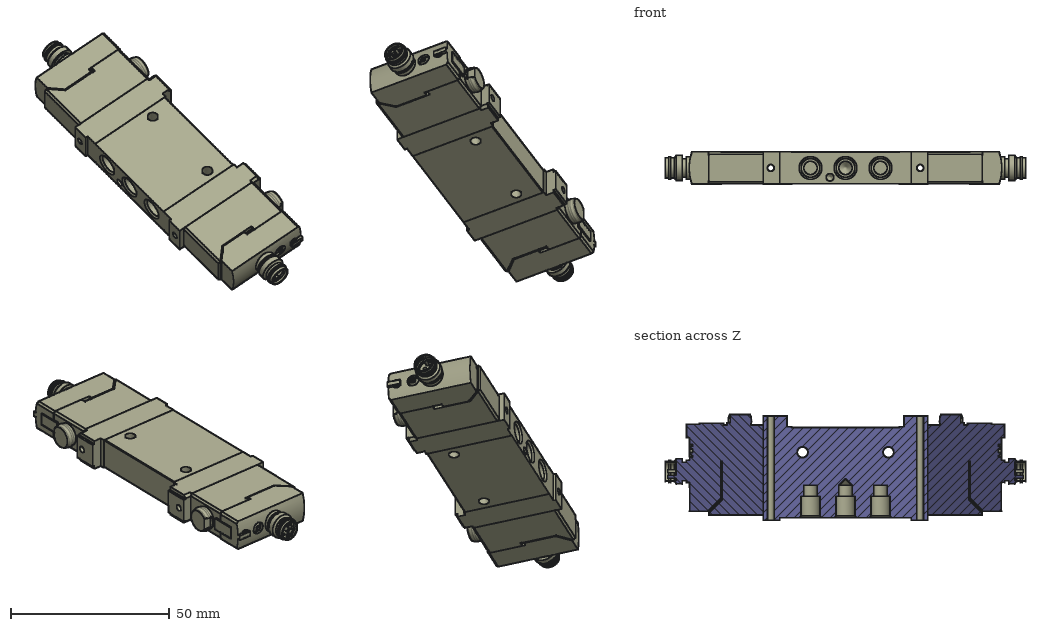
import cadquery as cq


length = 114.0
height = 10.3
half_height = height / 2
seam_step = 0.06

housing_end = 26.0
block_end = 17.0
block_front = -16.0
block_back = 12.7
block_back_chamfer = 0.2
shoulder_back = 12.9
foot_inner_x = 20.7
foot_front = -16.8
tongue_inner_x = 18.5
tongue_back = 16.3
tongue_ledge_back = 15.5
tongue_tip_half_height = 4.0
tongue_end_chamfer = 0.9
mount_x = 13.6
mount_y = 4.8
mount_diameter = 3.3
foot_hole_x = 23.6
foot_hole_diameter = 2.0

port_pitch = 11.0
port_mouth_diameter = 7.2
port_diameter = 5.9
port_chamfer = (port_mouth_diameter - port_diameter) / 2
port_depth = 6.8
passage_diameter = 4.2
passage_depth = 10.3
pilot_x = -4.9
pilot_z = -3.0
pilot_diameter = 2.4
pilot_depth = 3.4

coil_front = -15.0
coil_back = 13.5
coil_end = -39.0
coil_toe = -43.2
coil_slant_y = -10.1
coil_chamfer = 0.7
cap_front = -13.9
cap_back = 13.7
cap_chamfer = 0.7
cap_seam = -40.6
cap_lip = -39.3
cap_slant_y = -9.8
cap_edge_x = -48.5
cap_crown_x = -49.4
corner_tip_x = -42.6
corner_tip_half_height = 4.2
corner_tip_length = 1.7
corner_tip_width = 0.3
window_back = 1.9
upper_window_front = 0.9
lower_window_front = -1.1
window_depth = 1.1

latch_tip = -50.3
latch_front = 9.3
latch_half_width = 0.8
latch_knob_diameter = 2.8
latch_knob_tip = -49.6
pad_start = -46.2
pad_end = -38.5
pad_back = 14.0
pad_half_width = 2.0

indicator_y = 5.2
indicator_diameter = 3.9
indicator_depth = 1.0
indicator_base_diameter = 3.3
indicator_tip_diameter = 1.8
indicator_hole_diameter = 1.0

connector_y = -1.3
connector_tip = -length / 2
tip_diameter = 6.5
ridge_diameter = 7.2
flange_diameter = 8.1
neck_diameter = 5.9
ridge_start = -55.9
ridge_end = -55.2
cone_start = -54.0
flange_start = -53.5
flange_end = -51.5
base_start = -50.4
socket_diameter = 5.8
socket_depth = 3.4
contact_diameter = 1.0
contact_radius = 1.7
contact_setback = 0.8

button_x = -33.6
button_top = 16.8
button_top_diameter = 7.0
button_diameter = 7.2
button_bevel_diameter = 7.4
button_barrel_diameter = 8.0
button_bevel_y = 16.3
barrel_back = 15.3
barrel_front = 14.6
button_notch_floor = 2.8
button_notch_half_width = 1.9
button_notch_front = 14.1


def box(x0, x1, y0, y1, z0, z1):
    """Box between two opposite corners."""
    return cq.Workplane("XY").box(x1 - x0, y1 - y0, z1 - z0, centered=False).translate((x0, y0, z0))


def slab(x0, x1, y0, y1, half_thickness):
    """Box centred on the mid plane of the valve."""
    return box(x0, x1, y0, y1, -half_thickness, half_thickness)


def prism(points, half_thickness):
    """Plan outline extruded evenly about the mid plane."""
    return cq.Workplane("XY").polyline(points).close().extrude(half_thickness, both=True)


def rod_x(x0, x1, y, z, diameter):
    """Cylinder along X."""
    return cq.Workplane("YZ", origin=(x0, y, z)).circle(diameter / 2).extrude(x1 - x0)


def rod_y(x, y0, y1, z, diameter):
    """Cylinder along Y."""
    return cq.Workplane("XZ", origin=(x, y0, z)).circle(diameter / 2).extrude(y0 - y1)


def cone_y(x, y0, y1, z, start_diameter, end_diameter):
    """Cone along +Y from y0 to y1."""
    solid = cq.Solid.makeCone(
        start_diameter / 2, end_diameter / 2, y1 - y0, pnt=cq.Vector(x, y0, z), dir=cq.Vector(0, 1, 0)
    )
    return cq.Workplane(solid)


def turn(shape, angle=180):
    """Turn about the Y axis; a half turn moves a shape from the -X end to the +X end."""
    return shape.rotate((0, 0, 0), (0, 1, 0), angle)



def make_shoulder():
    """Raised shoulder at the -X end, with a foot in front and a stepped tongue behind."""
    shoulder = slab(-housing_end, -block_end, block_front, shoulder_back, half_height)
    foot = slab(-housing_end, -foot_inner_x, foot_front, block_front, half_height)
    tongue = slab(-housing_end, -tongue_inner_x, shoulder_back, tongue_ledge_back, half_height)
    tongue = tongue.faces("<X").edges("|Y").chamfer(tongue_end_chamfer)
    tip = slab(-housing_end, -tongue_inner_x, tongue_ledge_back, tongue_back, tongue_tip_half_height)
    foot_hole = rod_y(-foot_hole_x, foot_front, tongue_back, 0, foot_hole_diameter)
    return shoulder.union(foot).union(tongue).union(tip).cut(foot_hole)


def port_cutter(x, has_drill_point):
    """Chamfered port with a narrower passage behind it."""
    chamfer_end = block_front + port_chamfer
    passage_end = block_front + passage_depth
    mouth = cone_y(x, block_front, chamfer_end, 0, port_mouth_diameter, port_diameter)
    bore = rod_y(x, block_front, block_front + port_depth, 0, port_diameter)
    passage = rod_y(x, block_front, passage_end, 0, passage_diameter)
    cutter = mouth.union(bore).union(passage)
    if has_drill_point:
        point_end = passage_end + passage_diameter / 2
        cutter = cutter.union(cone_y(x, passage_end, point_end, 0, passage_diameter, 0))
    return cutter


def pilot_cutter():
    """Small drilled hole with a conical bottom."""
    drill_end = block_front + pilot_depth
    point_end = drill_end + pilot_diameter / 2
    drill = rod_y(pilot_x, block_front, drill_end, pilot_z, pilot_diameter)
    return drill.union(cone_y(pilot_x, drill_end, point_end, pilot_z, pilot_diameter, 0))


def make_housing():
    """Lower block between two shoulders, with ports in front and two mounting holes."""
    body = slab(-block_end, block_end, block_front, block_back, half_height - seam_step)
    body = body.faces(">Y").edges("|X").chamfer(block_back_chamfer)
    shoulder = make_shoulder()
    body = body.union(shoulder).union(turn(shoulder))
    for side in (-1, 0, 1):
        body = body.cut(port_cutter(side * port_pitch, has_drill_point=side == 0))
    body = body.cut(pilot_cutter())
    mounting_holes = (
        cq.Workplane("XY")
        .pushPoints([(-mount_x, mount_y), (mount_x, mount_y)])
        .circle(mount_diameter / 2)
        .extrude(half_height, both=True)
    )
    return body.cut(mounting_holes)



def make_coil():
    """Coil block with a slanted front corner and chamfered long edges."""
    toe_y = coil_slant_y - (coil_end - coil_toe)
    outline = [
        (-housing_end, coil_front),
        (coil_toe, coil_front),
        (coil_toe, toe_y),
        (coil_end, coil_slant_y),
        (coil_end, window_back),
        (cap_seam, window_back),
        (cap_seam, coil_back),
        (-housing_end, coil_back),
    ]
    coil = prism(outline, half_height - seam_step)
    return coil.faces("<Y or >Y").edges("|X").chamfer(coil_chamfer)


def make_cap():
    """Cap with a crowned end face, a slanted corner, two windows and a lip along the coil gap."""
    slant_run = cap_slant_y - cap_front
    outline = [
        (cap_crown_x, cap_front),
        (cap_lip - slant_run, cap_front),
        (cap_lip, cap_slant_y),
        (cap_lip, window_back),
        (cap_seam, window_back),
        (cap_seam, cap_back),
        (cap_crown_x, cap_back),
    ]
    cap = prism(outline, half_height)
    cap = cap.faces(">Y").edges("|X").chamfer(cap_chamfer)
    crown = (
        cq.Workplane("XZ", origin=(0, cap_back, 0))
        .moveTo(cap_lip, -half_height)
        .lineTo(cap_edge_x, -half_height)
        .threePointArc((cap_crown_x, 0), (cap_edge_x, half_height))
        .lineTo(cap_lip, half_height)
        .close()
        .extrude(cap_back - cap_front)
    )
    cap = cap.intersect(crown)
    window_floor = half_height - window_depth
    upper_window = box(cap_seam, coil_end, upper_window_front, window_back, window_floor, half_height)
    lower_window = box(cap_seam, coil_end, lower_window_front, window_back, -half_height, -window_floor)
    corner_tip = slab(
        corner_tip_x - corner_tip_length,
        corner_tip_x,
        cap_front,
        cap_front + corner_tip_width,
        corner_tip_half_height,
    )
    cap = cap.union(corner_tip)
    return cap.cut(upper_window).cut(lower_window)


def make_latch():
    """Latch strip with a round knob on the cap end, and a pad on the back of the cap."""
    knob_y = latch_front + latch_knob_diameter / 2
    strip = slab(latch_tip, cap_edge_x, latch_front, cap_back, latch_half_width)
    knob = rod_x(latch_knob_tip, cap_edge_x, knob_y, 0, latch_knob_diameter)
    pad = slab(pad_start, pad_end, coil_back - coil_chamfer, pad_back, pad_half_width)
    return strip.union(knob).union(pad)


def indicator_cutter():
    """Round recess that leaves a hollow cone standing in the cap end."""
    recess = rod_x(cap_crown_x, cap_crown_x + indicator_depth, indicator_y, 0, indicator_diameter)
    cone = cq.Solid.makeCone(
        indicator_tip_diameter / 2,
        indicator_base_diameter / 2,
        indicator_depth,
        pnt=cq.Vector(cap_crown_x, indicator_y, 0),
        dir=cq.Vector(1, 0, 0),
    )
    hole = rod_x(cap_crown_x, cap_crown_x + indicator_depth, indicator_y, 0, indicator_hole_diameter)
    return recess.cut(cq.Workplane(cone)).union(hole)


def make_connector():
    """Turned round connector with a socket and three contacts."""
    profile = [
        (connector_tip, 0),
        (connector_tip, tip_diameter / 2),
        (ridge_start, tip_diameter / 2),
        (ridge_start, ridge_diameter / 2),
        (ridge_end, ridge_diameter / 2),
        (ridge_end, tip_diameter / 2),
        (cone_start, tip_diameter / 2),
        (flange_start, flange_diameter / 2),
        (flange_end, flange_diameter / 2),
        (flange_end, neck_diameter / 2),
        (base_start, neck_diameter / 2),
        (base_start, ridge_diameter / 2),
        (cap_edge_x, ridge_diameter / 2),
        (cap_edge_x, 0),
    ]
    body = cq.Workplane("XY").polyline(profile).close().revolve(360, (0, 0, 0), (1, 0, 0))
    body = body.translate((0, connector_y, 0))
    socket_floor = connector_tip + socket_depth
    body = body.cut(rod_x(connector_tip, socket_floor, connector_y, 0, socket_diameter))
    for y_side, z_side in ((0, 1), (-1, 0), (0, -1)):
        contact_y = connector_y + y_side * contact_radius
        contact_z = z_side * contact_radius
        contact_tip = connector_tip + contact_setback
        body = body.union(rod_x(contact_tip, socket_floor, contact_y, contact_z, contact_diameter))
    return body


def make_button():
    """Turned override button with a barrel-shaped side and a notch on its outer side."""
    seat = coil_back - coil_chamfer
    profile = [
        (0, seat),
        (button_diameter / 2, seat),
        (button_barrel_diameter / 2, barrel_front),
        (button_barrel_diameter / 2, barrel_back),
        (button_bevel_diameter / 2, button_bevel_y),
        (button_top_diameter / 2, button_top),
        (0, button_top),
    ]
    button = cq.Workplane("XY").polyline(profile).close().revolve(360, (0, 0, 0), (0, 1, 0))
    notch = slab(
        -button_barrel_diameter / 2,
        -button_notch_floor,
        button_notch_front,
        button_top,
        button_notch_half_width,
    )
    return button.cut(notch).translate((button_x, 0, 0))


def make_solenoid():
    """Solenoid unit at the -X end, as one solid."""
    cap = make_cap().cut(indicator_cutter())
    return make_coil().union(cap).union(make_latch()).union(make_connector()).union(make_button())


housing = make_housing()
solenoids = []
for end_angle in (0, 180):
    solenoid = turn(make_solenoid(), end_angle)
    solenoids.append(solenoid.val())

result = cq.Compound.makeCompound([housing.val(), *solenoids])